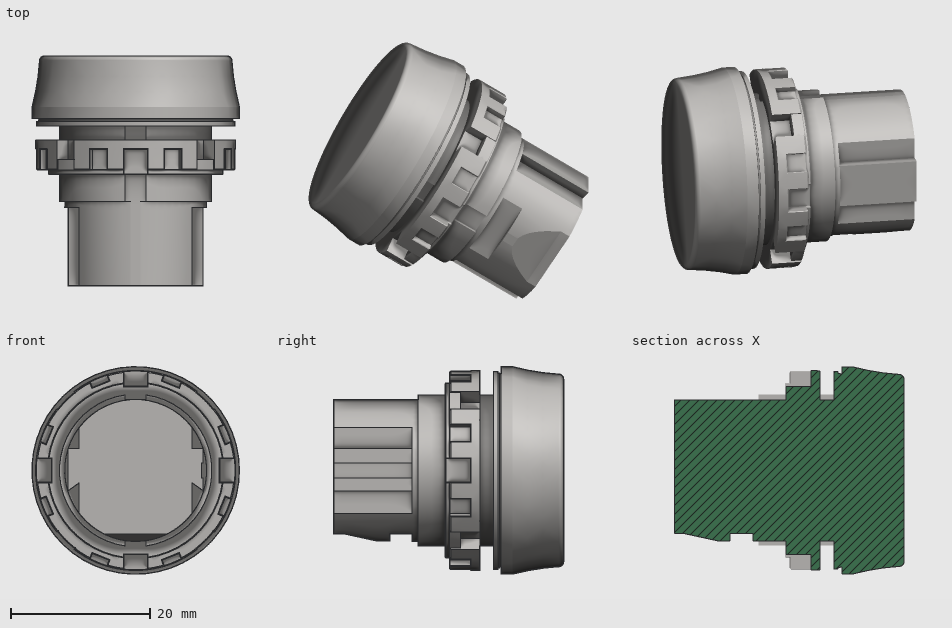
import cadquery as cq
import math

overall_length = 33.05
head_top = 10.10
head_edge_radius = 0.75
flange_top = 2.75
flange_bottom = 1.10
groove_bottom = 0.90
gasket_rim_top = 0.65
nut_top = -1.97
nut_face = -6.32
nut_lip_end = -6.95
barrel_end = -10.83
shoulder_end = -11.70
tail_end = head_top - overall_length

head_radius = 13.85
head_waist_radius = 14.22
flange_radius = 29.84 / 2
groove_radius = 13.90
gasket_radius = 28.0 / 2
gasket_rim_radius = 28.5 / 2
barrel_radius = 10.95
tail_radius = 10.20

nut_radius = 14.38
nut_lip_radius = 12.68
nut_chamfer = 0.20
edge_break = 0.10
opening_top = -3.33
notch_width = 3.36
notch_floor = 12.10
pocket_width = 2.60
pocket_floor = 13.39
pocket_angle = 22.0
slot_width = 3.52
slot_floor = 12.03
slot_step = -4.77
slot_step_radius = 14.15

key_width = 3.0
key_floor = 10.175

tail_flat_x = 8.13
rail_x = 9.70
rail_top = 3.17
rail_root_bottom = -1.80
rail_tip_bottom = -2.92
rail_groove_x = 9.48
rail_groove_width = 2.20
belly_z = -9.11
wedge_start = -14.90
wedge_crest_end = -16.60
wedge_end = -21.50

margin = 1.0


def cylinder(radius, y_high, y_low):
    """Solid cylinder on the Y axis."""
    return cq.Workplane("XZ", origin=(0, y_high, 0)).circle(radius).extrude(y_high - y_low)


def block(x_range, y_range, z_range):
    """Box spanning the given ranges."""
    sizes = [abs(high - low) for low, high in (x_range, y_range, z_range)]
    corner = tuple(min(pair) for pair in (x_range, y_range, z_range))
    return cq.Workplane("XY").box(*sizes, centered=False).translate(corner)


def radial_cutter(width, floor, y_high, y_low, angle):
    """Box above a flat floor, turned about the axis to the given angle from +Z."""
    cutter = block((-width / 2, width / 2), (y_low, y_high), (floor, nut_radius + margin))
    return cutter.rotate((0, 0, 0), (0, 1, 0), angle)


def make_head():
    """Head with a hollow-curved flank, flange and stepped gasket."""
    edge = head_edge_radius
    diagonal = edge * math.sqrt(0.5)
    waist_y = (head_top - edge + flange_top) / 2
    profile = (
        cq.Workplane("XY")
        .moveTo(0, head_top)
        .lineTo(head_radius - edge, head_top)
        .threePointArc(
            (head_radius - edge + diagonal, head_top - edge + diagonal),
            (head_radius, head_top - edge),
        )
        .threePointArc((head_waist_radius, waist_y), (flange_radius, flange_top))
        .lineTo(flange_radius, flange_bottom)
        .lineTo(groove_radius, flange_bottom)
        .lineTo(groove_radius, groove_bottom)
        .lineTo(gasket_radius, groove_bottom)
        .lineTo(gasket_radius, gasket_rim_top)
        .lineTo(gasket_rim_radius, gasket_rim_top)
        .lineTo(gasket_rim_radius, 0)
        .lineTo(0, 0)
        .close()
    )
    return profile.revolve(360, (0, 0, 0), (0, 1, 0))


def make_barrel():
    """Barrel with a keyway at the top and the bottom."""
    barrel = cylinder(barrel_radius, 0, barrel_end)
    half = key_width / 2
    top_key = block((-half, half), (barrel_end, 0), (key_floor, key_floor + margin))
    return barrel.cut(top_key).cut(top_key.mirror("XY"))


def is_broken_edge(edge):
    """True for the outward edges of the notches and pockets, and for the end edge of the lip."""
    tolerance = 0.01
    center = edge.Center()
    if edge.geomType() == "CIRCLE":
        return min(abs(center.y - opening_top), abs(center.y - nut_lip_end)) < tolerance
    at_end_face = center.y < nut_face + nut_chamfer
    distance = math.hypot(center.x, center.z)
    at_rim = distance > nut_radius - nut_chamfer and center.y < opening_top - tolerance
    return edge.geomType() == "LINE" and (at_end_face or at_rim)


def make_nut():
    """Ring nut with wrench notches, flat-bottomed pockets and diagonal slots."""
    ring = cylinder(nut_radius, nut_top, nut_face).faces("<Y").chamfer(nut_chamfer)
    nut = ring.union(cylinder(nut_lip_radius, nut_face, nut_lip_end))
    below = nut_lip_end - margin
    for quadrant in range(4):
        middle = 90 * quadrant
        nut = nut.cut(radial_cutter(notch_width, notch_floor, opening_top, below, middle))
        for side in (-1, 1):
            angle = middle + side * pocket_angle
            nut = nut.cut(radial_cutter(pocket_width, pocket_floor, opening_top, below, angle))
    nut = nut.edges().filter(is_broken_edge).chamfer(edge_break)
    for quadrant in range(4):
        middle = 90 * quadrant
        slot = radial_cutter(slot_width, slot_floor, nut_top, slot_step, middle + 45)
        step = radial_cutter(slot_width, slot_floor, slot_step, nut_face, middle + 45)
        step = step.cut(cylinder(slot_step_radius, slot_step, nut_face))
        nut = nut.cut(slot).cut(step)
    return nut


def make_rails():
    """Side rails: square on top, undercut below, the +X one with a shallow groove."""
    outline = [
        (0, rail_top),
        (rail_x, rail_top),
        (rail_x, rail_tip_bottom),
        (tail_flat_x, rail_root_bottom),
        (0, rail_root_bottom),
    ]
    length = shoulder_end - tail_end
    rail = cq.Workplane("XZ", origin=(0, shoulder_end, 0)).polyline(outline).close().extrude(length)
    half = rail_groove_width / 2
    groove = block((rail_groove_x, rail_x + margin), (tail_end, shoulder_end), (-half, half))
    return rail.mirror("YZ").union(rail.cut(groove))


def make_tail():
    """Round tail flattened on its sides, top and belly, with rails and a snap wedge."""
    tail = cylinder(tail_radius, barrel_end, tail_end)
    reach = tail_radius + margin
    for side in (-1, 1):
        tail = tail.cut(block((side * tail_flat_x, side * reach), (tail_end, shoulder_end), (-reach, reach)))
    tail = tail.cut(block((-reach, reach), (tail_end, barrel_end), (key_floor, reach)))
    wedge_tip = -key_floor
    belly_cut = (
        cq.Workplane("YZ", origin=(-reach, 0, 0))
        .polyline(
            [
                (shoulder_end, belly_z),
                (wedge_start, belly_z),
                (wedge_start, wedge_tip),
                (wedge_crest_end, wedge_tip),
                (wedge_end, belly_z),
                (tail_end, belly_z),
                (tail_end, -reach),
                (shoulder_end, -reach),
            ]
        )
        .close()
        .extrude(2 * reach)
    )
    return tail.cut(belly_cut).union(make_rails())


result = make_head().union(make_barrel()).union(make_nut()).union(make_tail())